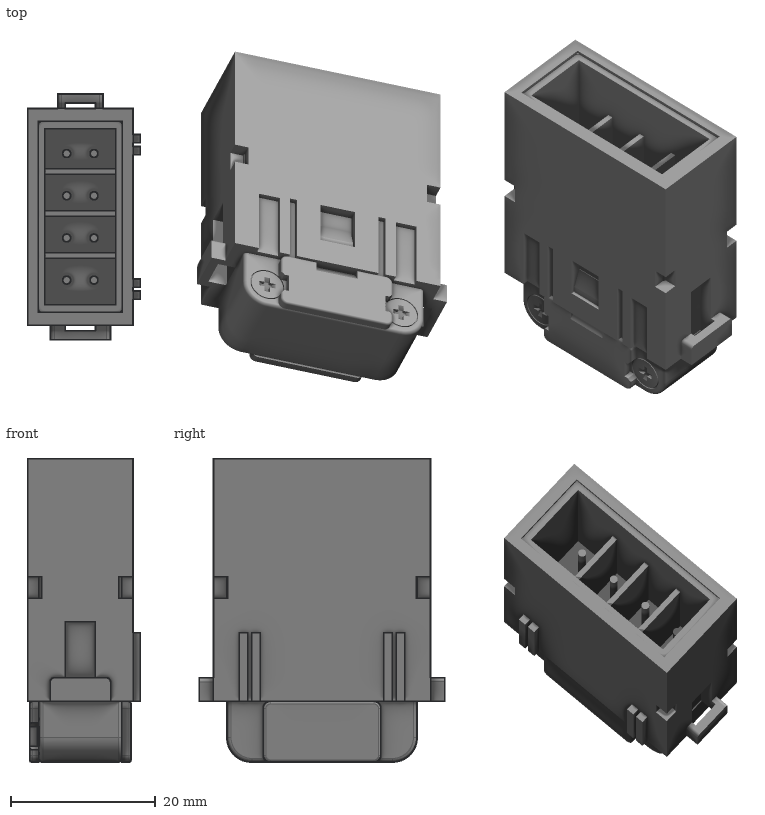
import cadquery as cq

TOTAL_HEIGHT = 41.95
TOTAL_Y = 34.0
BODY_X = 14.6
BODY_Y = 30.0
BODY_BOTTOM = 8.4
OUTER_X = BODY_X / 2
OUTER_Y = BODY_Y / 2

CAVITY_X = 9.8
CAVITY_Y = 24.35
CAVITY_FLOOR = 20.98
RIM_X = 11.6
RIM_Y = 26.43
RIM_DEPTH = 0.5
RIM_SHARP_DEPTH = 0.38
RIM_CORNER_RADIUS = 0.5
CONTACT_PITCH_X = 3.78
CONTACT_PITCH_Y = 5.85
CONTACT_ROWS = 4
CONTACT_DIAMETER = 1.1
CONTACT_HEIGHT = 7.55
DIVIDER_THICKNESS = 0.75
DIVIDER_TOP = 34.55
DIVIDER_SHIFT_Y = 0.45

NOTCH_SIZE = 1.97
NOTCH_BOTTOM = 22.65
NOTCH_HEIGHT = 2.98
BEAD_RADIUS = 0.6
BEAD_INSET = 0.4

CODING_HEIGHT = 9.52
CODING_CENTER_Y = 10.0
CODING_GROOVE_WIDTH = 3.0
CODING_GROOVE_DEPTH = 0.85
RIB_WIDTH = 1.17
RIB_SPACING = 1.68
RIB_DEPTH = 1.0

RELIEF_SLOT_WIDTH = 1.05
RELIEF_SLOT_CENTER_Y = 6.45
RELIEF_SLOT_DEPTH = 0.85
TONGUE_TOP = 18.2
WINDOW_WIDTH = 5.05
WINDOW_BOTTOM = 12.1
WINDOW_DEPTH = 1.5
LATCH_WIDTH = 4.75
LATCH_TOP = 15.7
LATCH_EDGE = 13.1
LATCH_TOP_DEPTH = 1.43
LATCH_EDGE_DEPTH = 0.45

LOOP_PROJECTION = (TOTAL_Y - BODY_Y) / 2
LOOP_HEIGHT = 3.27
LOOP_WIDTH_FRONT = 8.35
LOOP_WIDTH_BACK = 6.3
LOOP_EDGE_RADIUS_FRONT = 0.6
LOOP_EDGE_RADIUS_BACK = 0.5
LOOP_OPENING = 0.7
GUIDE_WIDTH = 4.15
GUIDE_DEPTH = 2.0
GUIDE_TOP = 19.4

HOOD_X = 11.5
HOOD_Y = 26.3
HOOD_CORNER_RADIUS = 3.45
HOOD_EDGE_RADIUS = 0.55
PLATE_OUTER_X = 7.0
PLATE_Y = 16.28
PLATE_CORNER_RADIUS = 0.95
PLATE_EDGE_RADIUS = 0.35
PLATE_GAP = 0.15
PRY_SLOT_WIDTH = 5.95
PRY_SLOT_BOTTOM = 6.85

SCREW_Y = 9.77
SCREW_Z = 3.55
SCREW_RADIUS = 2.3
SCREW_CLEARANCE_RADIUS = 2.48
SCREW_GROOVE_DEPTH = 0.3
SCREW_POCKET_END_Y = 7.05
SCREW_POCKET_HEIGHT = 2.7
CROSS_LENGTH = 2.45
CROSS_WIDTH = 0.75
CROSS_DEPTH = 0.5


def box_between(x0, x1, y0, y1, z0, z1):
    return cq.Workplane("XY").box(x1 - x0, y1 - y0, z1 - z0, centered=False).translate((x0, y0, z0))


def block(size_x, size_y, bottom, top):
    """Block centred on the Z axis."""
    return box_between(-size_x / 2, size_x / 2, -size_y / 2, size_y / 2, bottom, top)


def left_recess(center_y, width, bottom, top, depth):
    """Cutter for a straight recess in the -X face of the body."""
    return box_between(
        -OUTER_X, -OUTER_X + depth, center_y - width / 2, center_y + width / 2, bottom, top
    )


def cut_cavity(body):
    rim_bottom = TOTAL_HEIGHT - RIM_DEPTH
    rim = block(RIM_X, RIM_Y, rim_bottom, TOTAL_HEIGHT).edges("|Z").fillet(RIM_CORNER_RADIUS)
    sharp_rim = block(RIM_X, RIM_Y, TOTAL_HEIGHT - RIM_SHARP_DEPTH, TOTAL_HEIGHT)
    cavity = block(CAVITY_X, CAVITY_Y, CAVITY_FLOOR, TOTAL_HEIGHT)
    return body.cut(rim).cut(sharp_rim).cut(cavity)


def add_contacts(body):
    for row in range(CONTACT_ROWS - 1):
        divider_y = DIVIDER_SHIFT_Y + (row - (CONTACT_ROWS - 2) / 2) * CONTACT_PITCH_Y
        divider = block(CAVITY_X, DIVIDER_THICKNESS, CAVITY_FLOOR, DIVIDER_TOP)
        body = body.union(divider.translate((0, divider_y, 0)))
    contacts = (
        cq.Workplane("XY", origin=(0, 0, CAVITY_FLOOR))
        .rarray(CONTACT_PITCH_X, CONTACT_PITCH_Y, 2, CONTACT_ROWS)
        .circle(CONTACT_DIAMETER / 2)
        .extrude(CONTACT_HEIGHT)
    )
    return body.union(contacts)


def cut_corner_notches(body):
    cutter_size = 2 * NOTCH_SIZE
    level = cq.Workplane("XY", origin=(0, 0, NOTCH_BOTTOM))
    notches = level.rarray(BODY_X, BODY_Y, 2, 2).rect(cutter_size, cutter_size).extrude(NOTCH_HEIGHT)
    bead_spacing_x = BODY_X - 2 * NOTCH_SIZE
    bead_spacing_y = BODY_Y - 2 * NOTCH_SIZE - 2 * BEAD_INSET
    beads = level.rarray(bead_spacing_x, bead_spacing_y, 2, 2).circle(BEAD_RADIUS).extrude(NOTCH_HEIGHT)
    return body.cut(notches.cut(beads))


def add_coding(body):
    top = BODY_BOTTOM + CODING_HEIGHT
    for side in (-1, 1):
        center_y = side * CODING_CENTER_Y
        body = body.cut(
            left_recess(center_y, CODING_GROOVE_WIDTH, BODY_BOTTOM, top, CODING_GROOVE_DEPTH)
        )
        for offset in (-RIB_SPACING / 2, RIB_SPACING / 2):
            rib_start = center_y + offset - RIB_WIDTH / 2
            rib = box_between(
                OUTER_X, OUTER_X + RIB_DEPTH, rib_start, rib_start + RIB_WIDTH, BODY_BOTTOM, top
            )
            body = body.union(rib)
    return body


def add_snap_tongue(body):
    for side in (-1, 1):
        slot_y = side * RELIEF_SLOT_CENTER_Y
        body = body.cut(
            left_recess(slot_y, RELIEF_SLOT_WIDTH, BODY_BOTTOM, TONGUE_TOP, RELIEF_SLOT_DEPTH)
        )
    body = body.cut(left_recess(0, WINDOW_WIDTH, WINDOW_BOTTOM, TONGUE_TOP, WINDOW_DEPTH))
    latch = (
        cq.Workplane("XZ")
        .moveTo(-OUTER_X + WINDOW_DEPTH, WINDOW_BOTTOM)
        .lineTo(-OUTER_X + LATCH_EDGE_DEPTH, WINDOW_BOTTOM)
        .lineTo(-OUTER_X + LATCH_EDGE_DEPTH, LATCH_EDGE)
        .lineTo(-OUTER_X + LATCH_TOP_DEPTH, LATCH_TOP)
        .lineTo(-OUTER_X + WINDOW_DEPTH, LATCH_TOP)
        .close()
        .extrude(LATCH_WIDTH / 2, both=True)
    )
    return body.union(latch)


def add_side_loop(body, side, width, edge_radius):
    """Guide groove and the bridging loop on the Y face given by side (-1 or 1)."""
    wall_y = side * (OUTER_Y - GUIDE_DEPTH / 2)
    guide = block(GUIDE_WIDTH, GUIDE_DEPTH, BODY_BOTTOM, GUIDE_TOP).translate((0, wall_y, 0))
    loop = block(width, LOOP_PROJECTION, BODY_BOTTOM, BODY_BOTTOM + LOOP_HEIGHT)
    loop = loop.edges("|Y and >Z").fillet(edge_radius)
    loop = loop.translate((0, side * (OUTER_Y + LOOP_PROJECTION / 2), 0))
    opening = block(GUIDE_WIDTH, LOOP_OPENING, BODY_BOTTOM, BODY_BOTTOM + LOOP_HEIGHT)
    opening = opening.translate((0, side * (OUTER_Y + LOOP_OPENING / 2), 0))
    return body.cut(guide).union(loop.cut(opening))


def make_hood():
    hood = block(HOOD_X, HOOD_Y, 0, BODY_BOTTOM).edges("|X and <Z").fillet(HOOD_CORNER_RADIUS)
    return hood.edges("|Y and <Z").fillet(HOOD_EDGE_RADIUS)


def make_plate(side):
    """Cover plate on the X face of the hood given by side (-1 or 1)."""
    inner_x = HOOD_X / 2
    plate = block(PLATE_OUTER_X - inner_x, PLATE_Y, 0, BODY_BOTTOM)
    plate = plate.translate(((PLATE_OUTER_X + inner_x) / 2, 0, 0))
    plate = plate.edges("|X").fillet(PLATE_CORNER_RADIUS).faces(">X").edges().fillet(PLATE_EDGE_RADIUS)
    return plate if side > 0 else plate.mirror("YZ")


def make_screw_plate():
    """Plate on the -X face, relieved around the screws and slotted for prying it off."""
    inner_x = -HOOD_X / 2
    z0 = SCREW_Z - SCREW_POCKET_HEIGHT / 2
    z1 = SCREW_Z + SCREW_POCKET_HEIGHT / 2
    plate = make_plate(-1)
    clearance = (
        cq.Workplane("YZ", origin=(inner_x, 0, 0))
        .pushPoints([(-SCREW_Y, SCREW_Z), (SCREW_Y, SCREW_Z)])
        .circle(SCREW_CLEARANCE_RADIUS)
        .extrude(-PLATE_OUTER_X)
    )
    plate = plate.cut(clearance)
    for y0, y1 in ((-SCREW_Y, -SCREW_POCKET_END_Y), (SCREW_POCKET_END_Y, SCREW_Y)):
        plate = plate.cut(box_between(-PLATE_OUTER_X, inner_x, y0, y1, z0, z1))
    plate = plate.cut(box_between(inner_x - PLATE_GAP, inner_x, -SCREW_Y, SCREW_Y, z0, z1))
    pry_slot = (
        cq.Workplane("XZ")
        .moveTo(-PLATE_OUTER_X, PRY_SLOT_BOTTOM)
        .lineTo(inner_x, BODY_BOTTOM)
        .lineTo(-PLATE_OUTER_X, BODY_BOTTOM)
        .close()
        .extrude(PRY_SLOT_WIDTH / 2, both=True)
    )
    return plate.cut(pry_slot)


def screw_cutter():
    """Ring groove around a screw head and its cross recess, on the Z axis with the head at Z = 0."""
    groove = (
        cq.Workplane("XY")
        .circle(SCREW_CLEARANCE_RADIUS)
        .circle(SCREW_RADIUS)
        .extrude(-SCREW_GROOVE_DEPTH)
    )
    arm = (
        cq.Workplane("XZ")
        .moveTo(-CROSS_LENGTH / 2, 0)
        .lineTo(CROSS_LENGTH / 2, 0)
        .lineTo(CROSS_LENGTH / 2 - CROSS_DEPTH, -CROSS_DEPTH)
        .lineTo(-CROSS_LENGTH / 2 + CROSS_DEPTH, -CROSS_DEPTH)
        .close()
        .extrude(CROSS_WIDTH / 2, both=True)
    )
    return groove.union(arm).union(arm.rotate((0, 0, 0), (0, 0, 1), 90))


def cut_screws(hood):
    cutter = screw_cutter().rotate((0, 0, 0), (0, 1, 0), -90)
    for y in (-SCREW_Y, SCREW_Y):
        hood = hood.cut(cutter.translate((-HOOD_X / 2, y, SCREW_Z)))
    return hood


body = block(BODY_X, BODY_Y, BODY_BOTTOM, TOTAL_HEIGHT)
body = add_contacts(cut_cavity(body))
body = cut_corner_notches(body)
body = add_coding(body)
body = add_snap_tongue(body)
body = add_side_loop(body, -1, LOOP_WIDTH_FRONT, LOOP_EDGE_RADIUS_FRONT)
body = add_side_loop(body, 1, LOOP_WIDTH_BACK, LOOP_EDGE_RADIUS_BACK)

hood = cut_screws(make_hood())
result = body.union(hood).union(make_plate(1)).union(make_screw_plate())